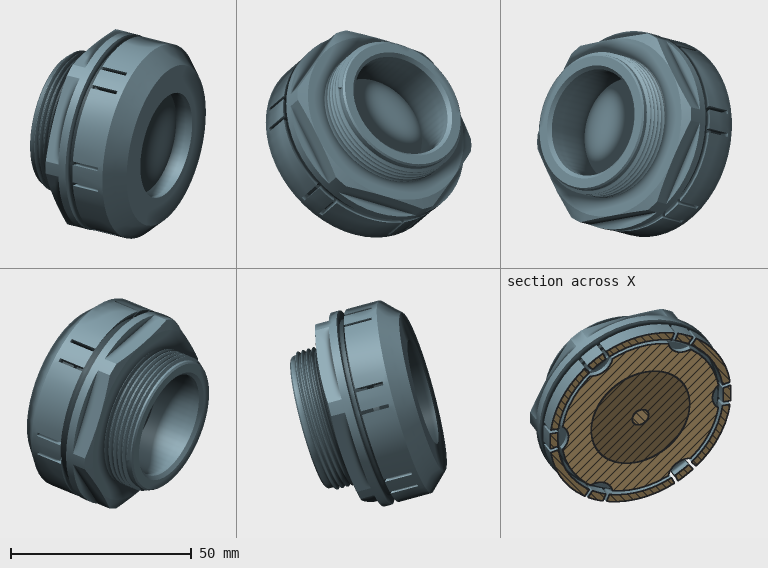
import cadquery as cq
import math


hex_start = 9.25
flange_start = 14.0
flange_end = 16.25
collar_end = 17.5
cap_start = 18.3
cap_cone_start = 27.8
cap_end = 32.8
plug_start = 15.0

outer_diameter = 55.7
hex_across_flats = 50.0
hex_chamfer_angle = 15.0
shank_diameter = 38.0
shank_chamfer = 0.45
bore_diameter = 29.85
bore_chamfer = 0.95
collar_diameter = 50.4
neck_diameter = 48.25

thread_diameter = 39.8
thread_pitch = 1.5
thread_start = 1.35
ridge_base_width = 1.1
ridge_crest_width = 0.1
ridge_root_sink = 0.15

cap_diameter = 55.3
cap_face_diameter = 45.7
cap_cavity_diameter = collar_diameter
cap_mouth_angle = 30.0

tab_count = 6
tab_slot_half_angle = 6.7
slot_width = 1.05
slot_end = 26.25
notch_radius = 5.0
notch_center_radius = 27.0
notch_start = 21.15
notch_length = 1.9

pin_diameter = 4.8

tab_angles = [index * 360 / tab_count for index in range(tab_count)]


def revolved(points):
    """Turn an (x, radius) outline about the X axis."""
    return cq.Workplane("XY").polyline(points).close().revolve(360, (0, 0, 0), (1, 0, 0))


def cylinder(diameter, start, end):
    return cq.Workplane("YZ").workplane(offset=start).circle(diameter / 2).extrude(end - start)


def make_hex_flange():
    """Round flange with a hexagon in front of it: flats at +-Z, corners turned, front edge chamfered."""
    flat_radius = hex_across_flats / 2
    outer_radius = outer_diameter / 2
    chamfer_depth = (outer_radius - flat_radius) * math.tan(math.radians(hex_chamfer_angle))
    blank = revolved(
        [
            (hex_start, 0),
            (hex_start, flat_radius),
            (hex_start + chamfer_depth, outer_radius),
            (flange_end, outer_radius),
            (flange_end, 0),
        ]
    )
    across_corners = hex_across_flats / math.cos(math.radians(30))
    prism = (
        cq.Workplane("YZ")
        .workplane(offset=hex_start)
        .polygon(6, across_corners)
        .extrude(flange_start - hex_start)
    )
    waste = cylinder(across_corners, hex_start, flange_start).cut(prism)
    return blank.cut(waste)


def make_thread_ridge():
    """Right-handed helical ridge that winds from the shank's end into the hexagon."""
    root_radius = shank_diameter / 2 - ridge_root_sink
    crest_radius = thread_diameter / 2
    height = crest_radius - shank_diameter / 2
    flank_slope = (ridge_base_width - ridge_crest_width) / 2 / height
    root_half = ridge_base_width / 2 + flank_slope * ridge_root_sink
    crest_half = ridge_crest_width / 2
    profile = (
        cq.Workplane("XZ")
        .polyline(
            [
                (root_radius, -root_half),
                (crest_radius, -crest_half),
                (crest_radius, crest_half),
                (root_radius, root_half),
            ]
        )
        .close()
    )
    ridge_length = hex_start - thread_start + thread_pitch
    helix = cq.Wire.makeHelix(thread_pitch, ridge_length, root_radius)
    ridge = profile.sweep(cq.Workplane(obj=helix), isFrenet=True).val()
    along_x = cq.Location(cq.Plane.named("YZ"))
    return ridge.moved(along_x).translate(cq.Vector(thread_start, 0, 0))


def make_notch(angle):
    """Scooped notch in the neck, behind one latch tab."""
    return (
        cq.Workplane("YZ")
        .workplane(offset=notch_start)
        .center(-notch_center_radius, 0)
        .circle(notch_radius)
        .extrude(notch_length)
        .rotate((0, 0, 0), (1, 0, 0), angle)
    )


def make_fitting():
    fitting = cylinder(shank_diameter, 0, hex_start).faces("<X").chamfer(shank_chamfer)
    fitting = fitting.union(make_hex_flange())
    fitting = fitting.union(cylinder(collar_diameter, flange_end, collar_end))
    fitting = fitting.union(cylinder(neck_diameter, collar_end, cap_cone_start))
    fitting = fitting.union(cq.Workplane(obj=make_thread_ridge()))
    for angle in tab_angles:
        fitting = fitting.cut(make_notch(angle))
    bore_radius = bore_diameter / 2
    bore = revolved(
        [
            (0, 0),
            (0, bore_radius + bore_chamfer),
            (bore_chamfer, bore_radius),
            (cap_cone_start, bore_radius),
            (cap_cone_start, 0),
        ]
    )
    return fitting.cut(bore)


def make_slot(angle):
    """Radial slot through the cap wall, open at the cap's mouth."""
    return (
        cq.Workplane("XY")
        .box(slot_end - cap_start, cap_diameter / 2, slot_width, centered=(False, False, True))
        .translate((cap_start, -cap_diameter / 2, 0))
        .rotate((0, 0, 0), (1, 0, 0), angle)
    )


def make_cap():
    """Cap nut with a conical mouth and a coned front, seated on the end of the neck."""
    cap_radius = cap_diameter / 2
    cavity_radius = cap_cavity_diameter / 2
    mouth_depth = (cap_radius - cavity_radius) * math.tan(math.radians(cap_mouth_angle))
    cap = revolved(
        [
            (cap_start, cap_radius),
            (cap_cone_start, cap_radius),
            (cap_end, cap_face_diameter / 2),
            (cap_end, bore_diameter / 2),
            (cap_cone_start, bore_diameter / 2),
            (cap_cone_start, cavity_radius),
            (cap_start + mouth_depth, cavity_radius),
        ]
    )
    for tab_angle in tab_angles:
        for side in (-1, 1):
            cap = cap.cut(make_slot(tab_angle + side * tab_slot_half_angle))
    return cap


def make_plug():
    """Sealing plug that fills the bore behind its floor, with a hole for the pin."""
    return cylinder(bore_diameter, plug_start, cap_cone_start).cut(
        cylinder(pin_diameter, plug_start, cap_cone_start)
    )


def make_pin():
    return cylinder(pin_diameter, plug_start, cap_cone_start)


fitting = make_fitting()
cap = make_cap()
plug = make_plug()
pin = make_pin()

result = cq.Compound.makeCompound([fitting.val(), cap.val(), plug.val(), pin.val()])